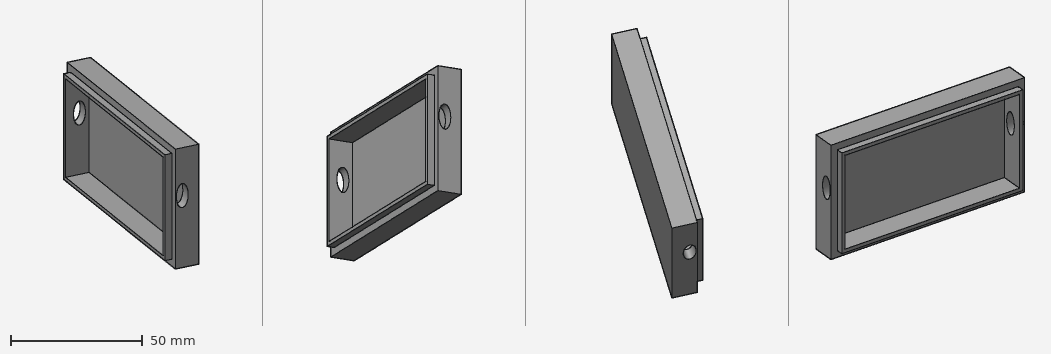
import cadquery as cq

length = 90.0
height = 50.0
total_depth = 13.0
lip_depth = 3.0
lip_inset = 3.0
lip_wall = 1.5
back_thickness = 3.0
hole_width = 5.0
hole_height = 10.0
hole_from_back = 7.0
hole_z = 5.0

body_depth = total_depth - lip_depth
lip_length = length - 2 * lip_inset
lip_height = height - 2 * lip_inset
pocket_length = lip_length - 2 * lip_wall
pocket_height = lip_height - 2 * lip_wall
pocket_depth = total_depth - back_thickness


def block(size_x, size_y, size_z, front_y):
    """Box centred in X and Z, running back from front_y."""
    box = cq.Workplane("XY").box(size_x, size_y, size_z, centered=(True, False, True))
    return box.translate((0, front_y, 0))


body = block(length, body_depth, height, lip_depth)
lip = block(lip_length, lip_depth, lip_height, 0)
case = body.union(lip)

pocket = block(pocket_length, pocket_depth, pocket_height, 0)

end_holes = (
    cq.Workplane("YZ")
    .center(total_depth - hole_from_back, hole_z)
    .ellipse(hole_width / 2, hole_height / 2)
    .extrude(length / 2, both=True)
)

result = case.cut(pocket).cut(end_holes)